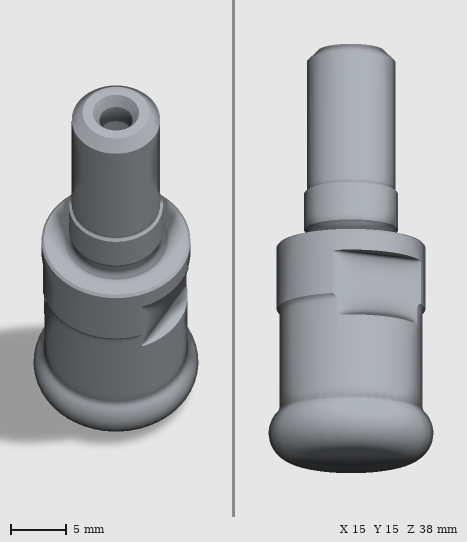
import cadquery as cq
import math

TOTAL_HEIGHT = 38.0

BULGE_RADIUS = 14.95 / 2
BULGE_SECTION_RADIUS = 2.5
SLEEVE_RADIUS = 13.0 / 2
SLEEVE_BLEND_RADIUS = 0.72

COLLAR_RADIUS = 13.5 / 2
COLLAR_TOP = 20.0
COLLAR_BOTTOM = 14.02
COLLAR_CHAMFER = 0.23

STEP_HEIGHT = 0.45

FLAT_OFFSET = 5.0
FLAT_BOTTOM = 12.05
FLAT_TOP = 18.0
FLAT_CORNER_RADIUS = 0.2

PIN_RADIUS = 8.0 / 2
PIN_TIP_CHAMFER = 1.0
GUIDE_RADIUS = 8.5 / 2
GUIDE_TOP = 25.0
GUIDE_BOTTOM = 21.4
FLARE_RADIUS = 0.5
FLARE_TOP = 20.33

SEAT_MOUTH_RADIUS = 4.8
SEAT_BOTTOM = COLLAR_BOTTOM

HOLE_RADIUS = 3.0 / 2
HOLE_MOUTH_RADIUS = 2.1
HOLE_DEPTH = 3.05
COUNTERSINK_HALF_ANGLE = 30.0
DRILL_TIP_HALF_ANGLE = 59.0

SEAT_RADIUS = PIN_RADIUS + FLARE_RADIUS
SEAT_TOP = FLARE_TOP - FLARE_RADIUS


def revolve_about_z(profile):
    """Turn a closed (radius, height) profile about the Z axis."""
    return profile.close().revolve(360, (0, 0, 0), (0, 1, 0))


def arc_middle(center, radius, start_angle, end_angle):
    """Point halfway along an arc; angles in radians."""
    angle = (start_angle + end_angle) / 2
    return (center[0] + radius * math.cos(angle), center[1] + radius * math.sin(angle))


def concave_step(upper_radius, lower_radius, top):
    """Middle and end point of an arc that runs down and in, ending tangent to the lower cylinder."""
    inset = upper_radius - lower_radius
    radius = (STEP_HEIGHT**2 + inset**2) / (2 * inset)
    bottom = top - STEP_HEIGHT
    center = (lower_radius + radius, bottom)
    start_angle = math.pi - math.asin(STEP_HEIGHT / radius)
    return arc_middle(center, radius, start_angle, math.pi), (lower_radius, bottom)


def make_knob_blank():
    """Bulge, sleeve and collar with the seat for the pin."""
    bulge_center = (BULGE_RADIUS - BULGE_SECTION_RADIUS, BULGE_SECTION_RADIUS)
    blend_x = SLEEVE_RADIUS + SLEEVE_BLEND_RADIUS
    center_distance = BULGE_SECTION_RADIUS + SLEEVE_BLEND_RADIUS
    touch_angle = math.acos((blend_x - bulge_center[0]) / center_distance)
    blend_center = (blend_x, bulge_center[1] + center_distance * math.sin(touch_angle))
    touch_point = (
        bulge_center[0] + BULGE_SECTION_RADIUS * math.cos(touch_angle),
        bulge_center[1] + BULGE_SECTION_RADIUS * math.sin(touch_angle),
    )
    bulge_middle = arc_middle(bulge_center, BULGE_SECTION_RADIUS, -math.pi / 2, touch_angle)
    blend_middle = arc_middle(blend_center, SLEEVE_BLEND_RADIUS, math.pi + touch_angle, math.pi)
    step_middle, step_end = concave_step(COLLAR_RADIUS, SLEEVE_RADIUS, COLLAR_BOTTOM)

    profile = (
        cq.Workplane("XZ")
        .lineTo(bulge_center[0], 0)
        .threePointArc(bulge_middle, touch_point)
        .threePointArc(blend_middle, (SLEEVE_RADIUS, blend_center[1]))
        .lineTo(*step_end)
        .threePointArc(step_middle, (COLLAR_RADIUS, COLLAR_BOTTOM))
        .lineTo(COLLAR_RADIUS, COLLAR_TOP - COLLAR_CHAMFER)
        .lineTo(COLLAR_RADIUS - COLLAR_CHAMFER, COLLAR_TOP)
        .lineTo(SEAT_MOUTH_RADIUS, COLLAR_TOP)
        .lineTo(SEAT_RADIUS, SEAT_TOP)
        .lineTo(SEAT_RADIUS, SEAT_BOTTOM)
        .lineTo(0, SEAT_BOTTOM)
    )
    return revolve_about_z(profile)


def make_flat_cutter(side):
    """Block that cuts one wrench flat, rounded where the flat meets its shoulders."""
    height = FLAT_TOP - FLAT_BOTTOM
    width = 2 * BULGE_RADIUS
    block = cq.Workplane("XY").box(BULGE_RADIUS, width, height)
    block = block.faces("<X" if side > 0 else ">X").edges("|Y").fillet(FLAT_CORNER_RADIUS)
    return block.translate((side * (FLAT_OFFSET + BULGE_RADIUS / 2), 0, FLAT_BOTTOM + height / 2))


def make_knob():
    knob = make_knob_blank()
    for side in (-1, 1):
        knob = knob.cut(make_flat_cutter(side))
    return knob


def make_pin_blank():
    """Seated foot, flared neck, guide and chamfered shank."""
    flare_center = (SEAT_RADIUS, FLARE_TOP)
    flare_middle = arc_middle(flare_center, FLARE_RADIUS, math.pi * 3 / 2, math.pi)
    step_middle, step_end = concave_step(GUIDE_RADIUS, PIN_RADIUS, GUIDE_BOTTOM)
    guide_chamfer = GUIDE_RADIUS - PIN_RADIUS

    profile = (
        cq.Workplane("XZ")
        .moveTo(0, SEAT_BOTTOM)
        .lineTo(SEAT_RADIUS, SEAT_BOTTOM)
        .lineTo(SEAT_RADIUS, SEAT_TOP)
        .threePointArc(flare_middle, (PIN_RADIUS, FLARE_TOP))
        .lineTo(*step_end)
        .threePointArc(step_middle, (GUIDE_RADIUS, GUIDE_BOTTOM))
        .lineTo(GUIDE_RADIUS, GUIDE_TOP - guide_chamfer)
        .lineTo(PIN_RADIUS, GUIDE_TOP)
        .lineTo(PIN_RADIUS, TOTAL_HEIGHT - PIN_TIP_CHAMFER)
        .lineTo(PIN_RADIUS - PIN_TIP_CHAMFER, TOTAL_HEIGHT)
        .lineTo(0, TOTAL_HEIGHT)
    )
    return revolve_about_z(profile)


def make_center_hole():
    """Blind drilled hole with a countersunk mouth."""
    countersink_depth = (HOLE_MOUTH_RADIUS - HOLE_RADIUS) / math.tan(math.radians(COUNTERSINK_HALF_ANGLE))
    drill_tip_height = HOLE_RADIUS / math.tan(math.radians(DRILL_TIP_HALF_ANGLE))
    hole_bottom = TOTAL_HEIGHT - HOLE_DEPTH

    profile = (
        cq.Workplane("XZ")
        .moveTo(0, hole_bottom - drill_tip_height)
        .lineTo(HOLE_RADIUS, hole_bottom)
        .lineTo(HOLE_RADIUS, TOTAL_HEIGHT - countersink_depth)
        .lineTo(HOLE_MOUTH_RADIUS, TOTAL_HEIGHT)
        .lineTo(0, TOTAL_HEIGHT)
    )
    return revolve_about_z(profile)


def make_pin():
    return make_pin_blank().cut(make_center_hole())


knob = make_knob()
pin = make_pin()

result = cq.Compound.makeCompound([knob.val(), pin.val()])